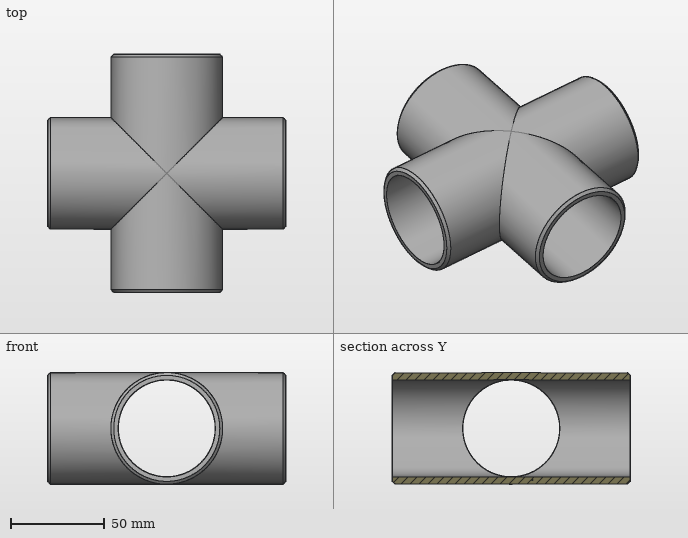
import cadquery as cq

length = 128.0
outer_diameter = 60.0
bore_diameter = 52.0
chamfer_size = 1.5

PIPE_PLANES = ("YZ", "XZ")


def cylinder(plane, diameter):
    """Full-length cylinder centred on the origin, normal to the plane."""
    return cq.Workplane(plane).circle(diameter / 2).extrude(length / 2, both=True)


def outer_pipe(plane):
    """Solid pipe body with both outer end edges chamfered."""
    return cylinder(plane, outer_diameter).edges("%CIRCLE").chamfer(chamfer_size)


result = outer_pipe(PIPE_PLANES[0]).union(outer_pipe(PIPE_PLANES[1]))
for bore_plane in PIPE_PLANES:
    result = result.cut(cylinder(bore_plane, bore_diameter))